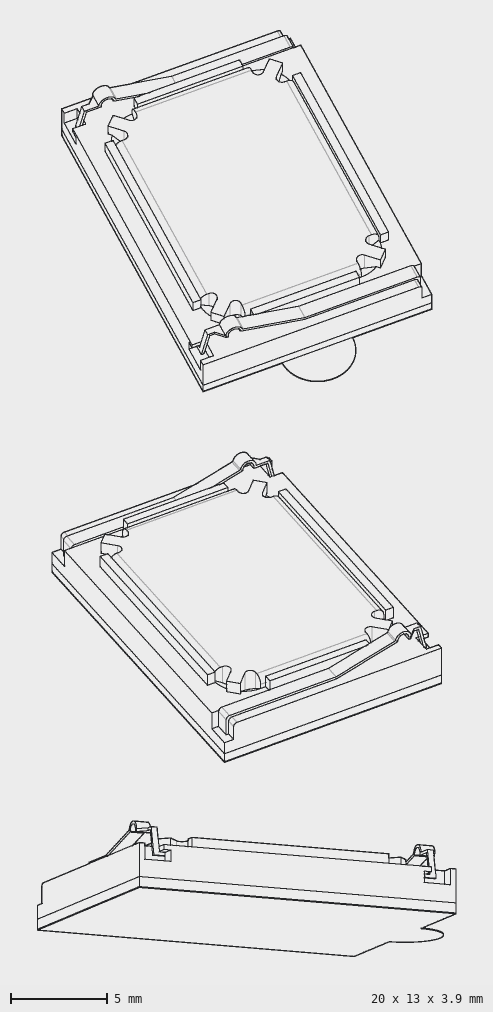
import cadquery as cq
import math

HOUSING_LENGTH = 18.0
HOUSING_WIDTH = 13.0
LINER_THICKNESS = 0.05
PULL_TAB_RADIUS = 2.0
GASKET_TOP = 0.58
HOUSING_TOP = 2.38

CAP_HEIGHT = 0.7
CAP_TOP = HOUSING_TOP + CAP_HEIGHT
PLATE_LENGTH = 14.4
PLATE_WIDTH = 10.2
PLATE_CORNER_RADIUS = 1.8
PLATE_RIM_RADIUS = 0.42
LONG_RIB_LENGTH = 11.2
LONG_RIB_SPAN = 11.12
SHORT_RIB_LENGTH = 6.0
SHORT_RIB_SPAN = 15.28

TAB_WIDTH = 0.75
TAB_INSET = 0.55
TAB_LENGTH = 1.2
TAB_EDGE_OFFSET = TAB_WIDTH / math.sqrt(2)
POCKET_ROUND = 0.3
POCKET_SLOPE = 35.0
POCKET_DEPTH = 0.55

SHEET = 0.15
SPRING_BEND_RADIUS = 0.2
SPRING_LEFT = -HOUSING_LENGTH / 2 + 0.52
SPRING_WIDTH = 0.8
SPRING_RIGHT = SPRING_LEFT + SPRING_WIDTH
SPRING_NECK_WIDTH = 0.35
FRONT = -HOUSING_WIDTH / 2
BACK = HOUSING_WIDTH / 2
SPRING_BACK = BACK - 0.4
RAMP_START = FRONT + 6.02
BUMP_RADIUS = 0.48
BUMP_BLEND_RADIUS = 0.08
BUMP_PEAK = 3.9
BUMP_CENTRE_Y = FRONT + 2.0
BUMP_CENTRE_Z = BUMP_PEAK - BUMP_RADIUS
RAMP_END = BUMP_CENTRE_Y + BUMP_RADIUS - SHEET / 2
RAMP_TOP = 3.52
NOSE_TOP = BUMP_CENTRE_Z
NOSE_Y = FRONT + 0.7
FOOT_Y = FRONT + 0.35
FOOT_BOTTOM = 1.85
NECK_TAPER_START = FRONT + 1.55
NECK_TAPER_END = FRONT + 1.1
HOOK_HEIGHT = 0.2
HOOK_REACH = 0.3

BACK_NOTCH_FLOOR = 1.32
FOOT_RECESS_LEFT = -HOUSING_LENGTH / 2 + 0.32
FOOT_RECESS_WIDTH = 1.08
FOOT_RECESS_FLOOR = 1.52
FOOT_RECESS_DEPTH = 0.75
UNDERCUT_WIDTH = 1.48
UNDERCUT_CEILING = 2.12


def block(x_min, x_max, y_min, y_max, z_min, z_max):
    """Box given by its limits along each axis."""
    return (
        cq.Workplane("XY")
        .box(x_max - x_min, y_max - y_min, z_max - z_min, centered=False)
        .translate((x_min, y_min, z_min))
    )


def on_both_sides(shape):
    """The shape made for the -X side, together with its mirror image."""
    return [shape, shape.mirror("YZ")]


def at_four_corners(shape):
    """Copies of a shape made around a corner at the origin, moved to every plate corner."""
    first = shape.translate((-PLATE_LENGTH / 2, -PLATE_WIDTH / 2, 0))
    left_pair = [first, first.mirror("XZ")]
    return left_pair + [corner.mirror("YZ") for corner in left_pair]



def make_liner():
    """Thin release liner with a half-round pull tab on its +X side."""
    sheet = block(-HOUSING_LENGTH / 2, HOUSING_LENGTH / 2, FRONT, BACK, 0, LINER_THICKNESS)
    pull_tab = (
        cq.Workplane("XY").center(HOUSING_LENGTH / 2, 0).circle(PULL_TAB_RADIUS).extrude(LINER_THICKNESS)
    )
    return sheet.union(pull_tab)


def make_gasket():
    """Flat layer between the liner and the speaker."""
    return block(-HOUSING_LENGTH / 2, HOUSING_LENGTH / 2, FRONT, BACK, LINER_THICKNESS, GASKET_TOP)



def plate_outline(base_z):
    """Rounded rectangle of the plate at a given height."""
    sketch = cq.Sketch().rect(PLATE_LENGTH, PLATE_WIDTH).vertices().fillet(PLATE_CORNER_RADIUS)
    return cq.Workplane("XY", origin=(0, 0, base_z)).placeSketch(sketch)


def raised_plate():
    """Plate with a rounded rim, enclosed by ribs that leave a groove beside the rim."""
    plate = plate_outline(HOUSING_TOP).extrude(CAP_HEIGHT)
    ribs = (
        cq.Workplane("XY", origin=(0, 0, HOUSING_TOP))
        .rect(LONG_RIB_LENGTH, LONG_RIB_SPAN)
        .extrude(CAP_HEIGHT)
        .union(
            cq.Workplane("XY", origin=(0, 0, HOUSING_TOP))
            .rect(SHORT_RIB_SPAN, SHORT_RIB_LENGTH)
            .extrude(CAP_HEIGHT)
        )
        .cut(plate)
    )
    return plate.faces(">Z").edges().fillet(PLATE_RIM_RADIUS).union(ribs)


def corner_pocket():
    """Plan of one pocket, between the tab edge and the end of the corner arc."""
    return (
        cq.Workplane("XY", origin=(0, 0, HOUSING_TOP - POCKET_DEPTH))
        .polyline([
            (TAB_EDGE_OFFSET, 0),
            (PLATE_CORNER_RADIUS, 0),
            (PLATE_CORNER_RADIUS, PLATE_CORNER_RADIUS - TAB_EDGE_OFFSET),
        ])
        .close()
        .extrude(POCKET_DEPTH + CAP_HEIGHT)
        .edges("|Z and >Y")
        .fillet(POCKET_ROUND)
    )


def corner_tab():
    """Bar on the diagonal of a plate corner."""
    return (
        cq.Workplane("XY")
        .box(TAB_LENGTH, TAB_WIDTH, CAP_HEIGHT, centered=(False, True, False))
        .translate((TAB_INSET, 0, HOUSING_TOP))
        .rotate((0, 0, 0), (0, 0, 1), 45)
    )


def pocket_envelope():
    """Space the pockets may take: open above the housing, sloping down and inward below it."""
    above = block(-HOUSING_LENGTH / 2, HOUSING_LENGTH / 2, FRONT, BACK, HOUSING_TOP, CAP_TOP)
    below = plate_outline(HOUSING_TOP).extrude(-POCKET_DEPTH, taper=90 - POCKET_SLOPE)
    return above.union(below)


def back_notch():
    """Corner notch that takes the turned-down back end of a spring."""
    return block(
        -HOUSING_LENGTH / 2, SPRING_RIGHT, SPRING_BACK - SHEET, BACK, BACK_NOTCH_FLOOR, HOUSING_TOP
    )


def foot_recess():
    """Front recess for a spring foot, undercut on the inner side for its hook."""
    recess_back = FRONT + FOOT_RECESS_DEPTH
    opening = block(
        FOOT_RECESS_LEFT, FOOT_RECESS_LEFT + FOOT_RECESS_WIDTH,
        FRONT, recess_back, FOOT_RECESS_FLOOR, HOUSING_TOP,
    )
    undercut = block(
        FOOT_RECESS_LEFT, FOOT_RECESS_LEFT + UNDERCUT_WIDTH,
        FRONT, recess_back, FOOT_RECESS_FLOOR, UNDERCUT_CEILING,
    )
    return opening.union(undercut)


def make_housing():
    body = block(-HOUSING_LENGTH / 2, HOUSING_LENGTH / 2, FRONT, BACK, GASKET_TOP, HOUSING_TOP)
    for notch in on_both_sides(back_notch()):
        body = body.cut(notch)
    for side in (-1, 1):
        bend_edge = (side * (HOUSING_LENGTH / 2 - SPRING_WIDTH), SPRING_BACK - SHEET, HOUSING_TOP)
        body = body.edges(cq.selectors.NearestToPointSelector(bend_edge)).fillet(SPRING_BEND_RADIUS)
    for recess in on_both_sides(foot_recess()):
        body = body.cut(recess)

    body = body.union(raised_plate())
    envelope = pocket_envelope()
    pocket = corner_pocket()
    for half in (pocket, pocket.mirror((1, -1, 0))):
        for placed in at_four_corners(half):
            body = body.cut(placed.intersect(envelope))
    for tab in at_four_corners(corner_tab()):
        body = body.union(tab)
    return body



def offset_path(points, distance):
    """Path parallel to the given (y, z) points, on their right-hand side, with mitred corners."""
    normals = []
    for (y0, z0), (y1, z1) in zip(points, points[1:]):
        length = math.hypot(y1 - y0, z1 - z0)
        normals.append(((z1 - z0) / length, (y0 - y1) / length))
    moved = []
    for index, (y, z) in enumerate(points):
        before = normals[max(index - 1, 0)]
        after = normals[min(index, len(normals) - 1)]
        scale = distance / (1 + before[0] * after[0] + before[1] * after[1])
        moved.append((y + scale * (before[0] + after[0]), z + scale * (before[1] + after[1])))
    return moved


def sheet_strip(path, x_min, width):
    """Strip of sheet along X whose outer face follows the (y, z) path."""
    outline = path + offset_path(path, SHEET)[::-1]
    return cq.Workplane("YZ", origin=(x_min, 0, 0)).polyline(outline).close().extrude(width)


def back_arm():
    """Leg in the back notch, flat run on the housing and ramp up to the bump."""
    spring_top = HOUSING_TOP + SHEET
    path = [
        (RAMP_END, RAMP_TOP),
        (RAMP_START, spring_top),
        (SPRING_BACK, spring_top),
        (SPRING_BACK, BACK_NOTCH_FLOOR),
    ]
    arm = sheet_strip(path, SPRING_LEFT, SPRING_WIDTH)
    middle_x = SPRING_LEFT + SPRING_WIDTH / 2
    for inset in (0, SHEET):
        bend_edge = (middle_x, SPRING_BACK - inset, spring_top - inset)
        arm = arm.edges(cq.selectors.NearestToPointSelector(bend_edge)).fillet(SPRING_BEND_RADIUS)
    return arm


def contact_bump():
    """Half-round contact at the top of the ramp."""
    inner_radius = BUMP_RADIUS - SHEET
    return (
        cq.Workplane("YZ", origin=(SPRING_LEFT, BUMP_CENTRE_Y, BUMP_CENTRE_Z))
        .moveTo(-BUMP_RADIUS, 0)
        .threePointArc((0, BUMP_RADIUS), (BUMP_RADIUS, 0))
        .lineTo(inner_radius, 0)
        .threePointArc((0, inner_radius), (-inner_radius, 0))
        .close()
        .extrude(SPRING_WIDTH)
    )


def neck_clearance():
    """Material removed beside the narrow front end of the strip."""
    neck_left = SPRING_RIGHT - SPRING_NECK_WIDTH
    return (
        cq.Workplane("XY")
        .polyline([
            (SPRING_LEFT, NECK_TAPER_START),
            (neck_left, NECK_TAPER_END),
            (neck_left, FRONT),
            (SPRING_LEFT, FRONT),
        ])
        .close()
        .extrude(BUMP_PEAK)
    )


def front_leg():
    """Nose in front of the bump, and the narrow leg ending in a sideways hook."""
    path = [
        (FOOT_Y, FOOT_BOTTOM),
        (NOSE_Y, NOSE_TOP),
        (BUMP_CENTRE_Y - BUMP_RADIUS + SHEET, NOSE_TOP),
    ]
    leg = sheet_strip(path, SPRING_LEFT, SPRING_WIDTH).cut(neck_clearance())
    hook_zone = block(
        SPRING_RIGHT, SPRING_RIGHT + HOOK_REACH, FRONT, BACK, FOOT_BOTTOM, FOOT_BOTTOM + HOOK_HEIGHT
    )
    hook = sheet_strip(path, SPRING_RIGHT, HOOK_REACH).intersect(hook_zone)
    below_foot = block(SPRING_LEFT, SPRING_RIGHT, FRONT, BACK, 0, FOOT_BOTTOM)
    return leg.cut(below_foot).union(hook)


def make_spring():
    spring = back_arm().union(contact_bump())
    corner = (SPRING_LEFT + SPRING_WIDTH / 2, BUMP_CENTRE_Y + BUMP_RADIUS, RAMP_TOP)
    spring = spring.edges(cq.selectors.NearestToPointSelector(corner)).fillet(BUMP_BLEND_RADIUS)
    return spring.union(front_leg())



def make_speaker():
    """Housing with its two contact springs as one solid."""
    speaker = make_housing()
    for spring in on_both_sides(make_spring()):
        speaker = speaker.union(spring)
    return speaker


def single_solid(body):
    return body.solids().val()


liner = make_liner()
gasket = make_gasket()
speaker = make_speaker()

result = cq.Compound.makeCompound([single_solid(body) for body in (liner, gasket, speaker)])